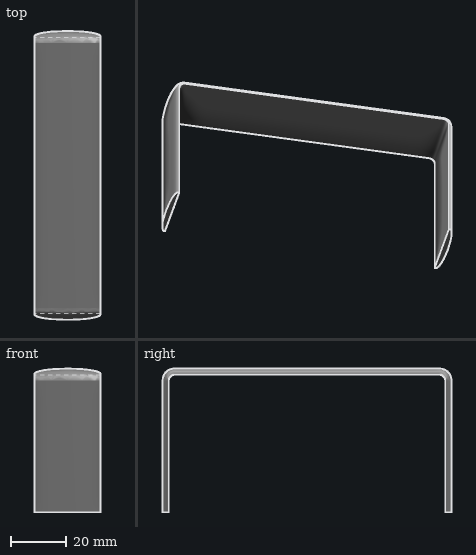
import cadquery as cq

width = 24.0
length = 105.15
height = 52.36

thickness = 2.36
side_height = 0.36

inner_bend_radius = 2.05

inner_half_length = length / 2 - thickness
inner_height = height - thickness


def strap_section(workplane):
    """Draw the section with local x across the width and local y outward from the inside face."""
    half_width = width / 2
    crown_rise = thickness - side_height
    return (
        workplane.moveTo(-half_width, side_height)
        .lineTo(-half_width, 0)
        .lineTo(half_width, 0)
        .lineTo(half_width, side_height)
        .ellipseArc(half_width, crown_rise, 0, 180, startAtCurrent=True)
        .close()
    )


def strap_path():
    """Centre line of the inside face: up the front leg, along the top and down the back leg."""
    bend_y = inner_half_length - inner_bend_radius
    bend_z = inner_height - inner_bend_radius
    return (
        cq.Workplane("YZ")
        .moveTo(-inner_half_length, 0)
        .lineTo(-inner_half_length, bend_z)
        .tangentArcPoint((-bend_y, inner_height), relative=False)
        .lineTo(bend_y, inner_height)
        .tangentArcPoint((inner_half_length, bend_z), relative=False)
        .lineTo(inner_half_length, 0)
    )


foot_plane = cq.Plane(origin=(0, -inner_half_length, 0), xDir=(1, 0, 0), normal=(0, 0, -1))
result = strap_section(cq.Workplane(foot_plane)).sweep(strap_path())